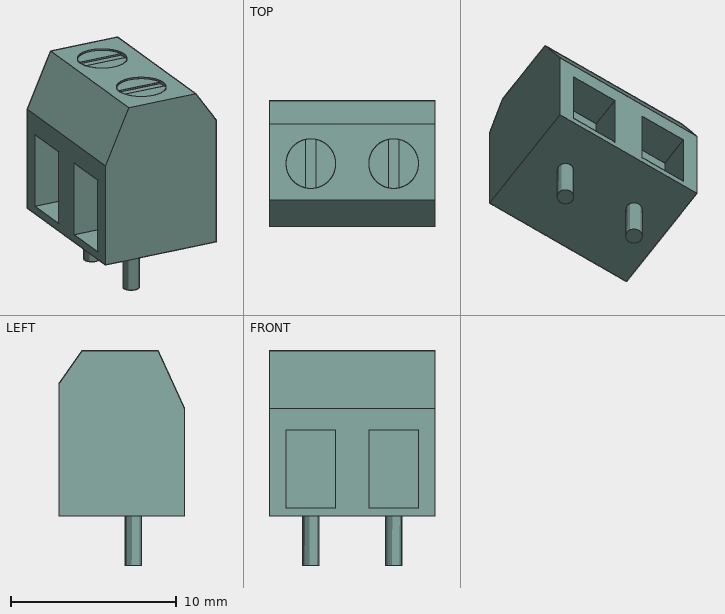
import cadquery as cq

pole_count = 2
pitch = 5.0
body_width = pole_count * pitch
body_depth = 7.6
body_height = 10.0

front_slope_run = 1.6
front_slope_drop = 3.5
back_slope_run = 1.4
back_slope_drop = 2.0

entry_width = 3.0
entry_height = 4.7
entry_sill = 0.5
entry_depth = 2.0

screw_diameter = 3.0
screw_recess = 0.1
slot_width = 0.65
slot_depth = 0.1

pin_diameter = 1.0
pin_length = 3.0
pin_from_back = 4.5

front_y = -body_depth / 2
back_y = body_depth / 2
pin_y = back_y - pin_from_back
screw_y = (front_y + back_y) / 2
pole_positions = [(i - (pole_count - 1) / 2) * pitch for i in range(pole_count)]


def make_housing():
    """Side profile in the YZ plane, extruded along X."""
    profile = [
        (front_y, 0),
        (back_y, 0),
        (back_y, body_height - back_slope_drop),
        (back_y - back_slope_run, body_height),
        (front_y + front_slope_run, body_height),
        (front_y, body_height - front_slope_drop),
    ]
    return cq.Workplane("YZ").polyline(profile).close().extrude(body_width / 2, both=True)


def make_wire_entry(x):
    """Rectangular pocket volume, open at the front face."""
    return (
        cq.Workplane("XY")
        .box(entry_width, entry_depth, entry_height, centered=(True, False, False))
        .translate((x, front_y, entry_sill))
    )


def make_screw_recess(x):
    """Round recess volume with a driver slot below its floor, ending at the screw rim."""
    total_depth = screw_recess + slot_depth
    top_plane = cq.Workplane("XY", origin=(x, screw_y, body_height))
    recess = top_plane.circle(screw_diameter / 2).extrude(-screw_recess)
    screw_bore = top_plane.circle(screw_diameter / 2).extrude(-total_depth)
    slot = top_plane.rect(slot_width, screw_diameter).extrude(-total_depth).intersect(screw_bore)
    return recess.union(slot)


def make_pin(x):
    """Round pin below the housing."""
    return cq.Workplane("XY").center(x, pin_y).circle(pin_diameter / 2).extrude(-pin_length)


result = make_housing()
for pole_x in pole_positions:
    result = result.cut(make_wire_entry(pole_x))
    result = result.cut(make_screw_recess(pole_x))
    result = result.union(make_pin(pole_x))